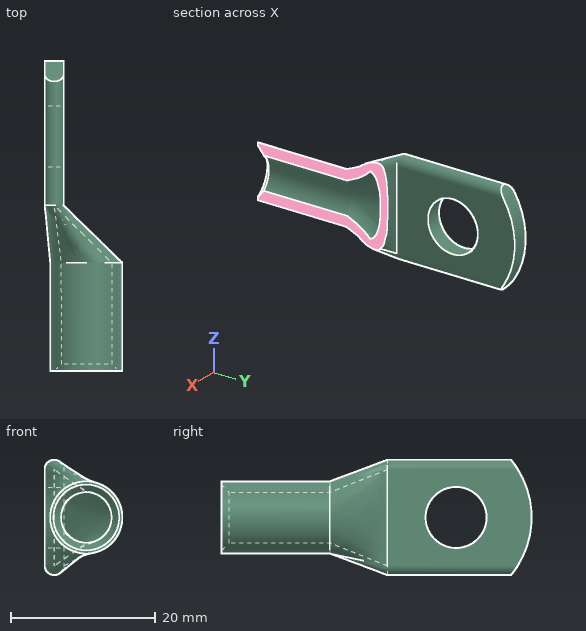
import cadquery as cq

LENGTH = 42.95
OVERALL_DEPTH = 10.8

PALM_WIDTH = 16.0
PALM_THICKNESS = 2.65
PALM_LENGTH = 20.0
END_RADIUS = 12.5
STUD_HOLE_DIAMETER = 8.4
STUD_HOLE_FROM_END = 10.5

BARREL_DIAMETER = 10.0
BARREL_LENGTH = 15.0
BORE_DIAMETER = 7.0
MOUTH_DIAMETER = 9.1
MOUTH_DEPTH = 1.05
SLIT_THICKNESS = 0.1

edge_radius = PALM_THICKNESS / 2
palm_start = LENGTH - PALM_LENGTH
barrel_radius = BARREL_DIAMETER / 2
barrel_x = OVERALL_DEPTH - barrel_radius


def plane_at(y, x):
    """Workplane normal to +Y whose local axes are Z and X."""
    return cq.Workplane(cq.Plane(origin=(x, y, 0), xDir=(0, 0, 1), normal=(0, 1, 0)))


def make_taper(diameter, slot_width, slot_thickness):
    """Solid blending a circle at the barrel end into a slot at the palm start."""
    round_plane = plane_at(BARREL_LENGTH, barrel_x).transformed(rotate=(0, 0, 180))
    circle = round_plane.circle(diameter / 2).wire().val()
    slot = plane_at(palm_start, edge_radius).slot2D(slot_width, slot_thickness).wire().val()
    return cq.Workplane(cq.Solid.makeLoft([circle, slot]))


def make_palm():
    """Palm with rounded long edges, an arched end and a stud hole."""
    bar = plane_at(palm_start, edge_radius).slot2D(PALM_WIDTH, PALM_THICKNESS).extrude(PALM_LENGTH)
    arch = (
        cq.Workplane("YZ")
        .center(LENGTH - END_RADIUS, 0)
        .circle(END_RADIUS)
        .extrude(PALM_THICKNESS)
    )
    hole = (
        cq.Workplane("YZ")
        .center(LENGTH - STUD_HOLE_FROM_END, 0)
        .circle(STUD_HOLE_DIAMETER / 2)
        .extrude(PALM_THICKNESS)
    )
    return bar.intersect(arch).cut(hole)


def make_bore():
    """Wire bore with a conical lead-in, pinched to a thin slit at the palm."""
    bore = plane_at(0, barrel_x).circle(BORE_DIAMETER / 2).extrude(BARREL_LENGTH)
    lead_in = (
        plane_at(0, barrel_x)
        .circle(MOUTH_DIAMETER / 2)
        .workplane(offset=MOUTH_DEPTH)
        .circle(BORE_DIAMETER / 2)
        .loft()
    )
    pinch = make_taper(BORE_DIAMETER, PALM_WIDTH - PALM_THICKNESS, SLIT_THICKNESS)
    return bore.union(lead_in).union(pinch)


barrel = plane_at(0, barrel_x).circle(barrel_radius).extrude(BARREL_LENGTH)
neck = make_taper(BARREL_DIAMETER, PALM_WIDTH, PALM_THICKNESS)
result = barrel.union(neck).union(make_palm()).cut(make_bore())